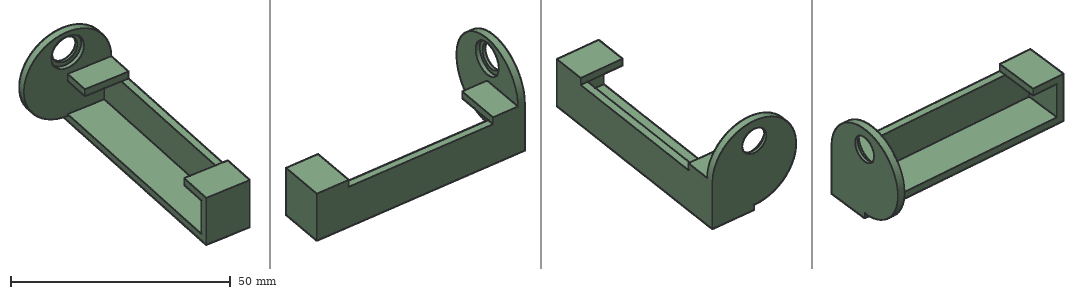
import cadquery as cq

length = 58.3
wall = 2.0
disc_diameter = 24.0
box_height = 13.45
tab_reach = 9.0
hole_diameter = 6.8
counterbore_diameter = 9.0
counterbore_depth = 1.15
hole_rise = 6.25

box_depth = disc_diameter / 2
inner_height = box_height - 2 * wall


def block(x_size, y_size, z_size, x, y, z):
    """Box with its lowest corner at (x, y, z)."""
    return cq.Workplane("XY").box(x_size, y_size, z_size, centered=False).translate((x, y, z))


def make_tray():
    """Long box, open at the front and, between the end tabs, at the top."""
    body = block(length, box_depth, box_height, 0, 0, -box_height)
    cavity = block(length - 2 * wall, box_depth - wall, inner_height, wall, 0, wall - box_height)
    top_gap = block(length - 2 * tab_reach, box_depth, wall, tab_reach, 0, -wall)
    return body.cut(cavity).cut(top_gap)


def cylinder_along_x(diameter, thickness, x, z):
    """Cylinder along X, starting at x, with its axis at height z."""
    return cq.Workplane("YZ").center(0, z).circle(diameter / 2).extrude(thickness).translate((x, 0, 0))


def make_disc():
    """Round end plate with a hole above the tray, counterbored from the tray side."""
    disc = cylinder_along_x(disc_diameter, wall, 0, 0)
    hole = cylinder_along_x(hole_diameter, wall, 0, hole_rise)
    counterbore = cylinder_along_x(
        counterbore_diameter, counterbore_depth, wall - counterbore_depth, hole_rise
    )
    return disc.cut(hole).cut(counterbore)


result = make_tray().union(make_disc())